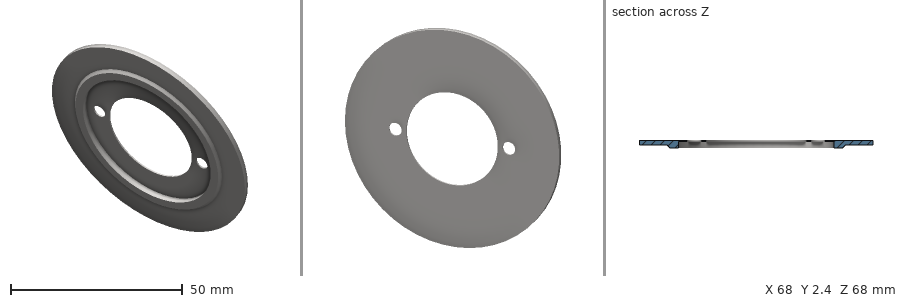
import cadquery as cq

outer_diameter = 68.0
total_thickness = 2.4
flange_thickness = 1.55

rim_height = total_thickness - flange_thickness
rim_base_diameter = 51.9
rim_chamfer = rim_height
rim_top_diameter = rim_base_diameter - 2 * rim_chamfer

recess_diameter = 45.0
recess_depth = 1.9

bore_diameter = 29.05
pin_hole_diameter = 4.0
pin_hole_spacing = 36.05


def turned_body():
    """Revolve the stepped half-section about the Y axis."""
    floor_y = recess_depth - total_thickness
    half_section = [
        (bore_diameter / 2, 0),
        (outer_diameter / 2, 0),
        (outer_diameter / 2, -flange_thickness),
        (rim_base_diameter / 2, -flange_thickness),
        (rim_top_diameter / 2, -total_thickness),
        (recess_diameter / 2, -total_thickness),
        (recess_diameter / 2, floor_y),
        (bore_diameter / 2, floor_y),
    ]
    profile = cq.Workplane("XY").polyline(half_section).close()
    return profile.revolve(360, (0, 0, 0), (0, 1, 0))


def pin_holes():
    """Two cylinders along Y, on opposite sides of the bore."""
    centers = [(side * pin_hole_spacing / 2, 0) for side in (-1, 1)]
    holes = cq.Workplane("XZ").pushPoints(centers).circle(pin_hole_diameter / 2)
    return holes.extrude(total_thickness)


result = turned_body().cut(pin_holes())